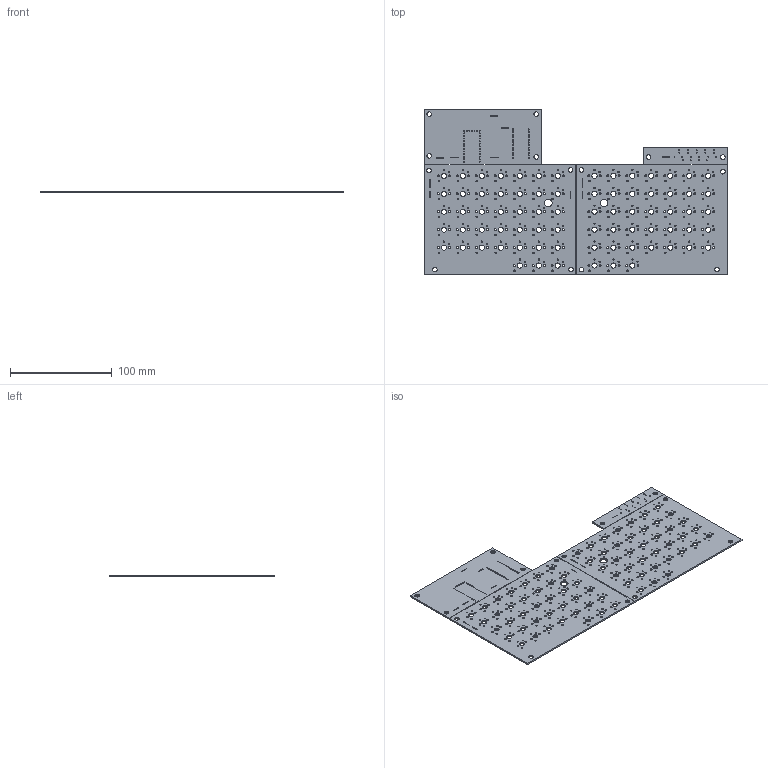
import cadquery as cq

PANEL_LENGTH = 298.06
PANEL_WIDTH = 162.67
THICKNESS = 1.51
SEAM_GAP = 0.5
TAB_WIDTH = 0.5

RIGHT_EDGE = PANEL_LENGTH / 2
LEFT_EDGE = -RIGHT_EDGE
REAR_EDGE = PANEL_WIDTH / 2
FRONT_EDGE = -REAR_EDGE

KEY_BOARD_REAR = 26.74
DAUGHTER_FRONT = KEY_BOARD_REAR + SEAM_GAP
CONTROLLER_LENGTH = 115.0
CONTROLLER_RIGHT = LEFT_EDGE + CONTROLLER_LENGTH
INDICATOR_LENGTH = 82.8
INDICATOR_LEFT = RIGHT_EDGE - INDICATOR_LENGTH
INDICATOR_REAR = 43.7

KEY_PITCH_X = 18.6
KEY_PITCH_Y = 17.6
KEY_COLUMNS = 7
FULL_KEY_ROWS = 5
THUMB_KEYS = 3
TOP_ROW_Y = 15.83
LEFT_FIRST_KEY_X = -129.53
RIGHT_FIRST_KEY_X = 18.135

SWITCH_HOLES = [
    (0, 0, 5.05),
    (-5.5, 0, 1.9),
    (5.5, 0, 1.9),
    (0, 5.9, 1.2),
    (5, 3.8, 1.2),
    (-5, -5.15, 1.6),
]

MOUNT_DIAMETER = 4.5
MOUNT_INSET = 5.0
MOUNT_POINTS = [
    (LEFT_EDGE + MOUNT_INSET, REAR_EDGE - MOUNT_INSET),
    (CONTROLLER_RIGHT - MOUNT_INSET, REAR_EDGE - MOUNT_INSET),
    (LEFT_EDGE + MOUNT_INSET, 35.48),
    (CONTROLLER_RIGHT - MOUNT_INSET, 34.49),
    (INDICATOR_LEFT + MOUNT_INSET, 34.2),
    (144.2, 34.2),
    (-144.2, 21.1),
    (-5.2, 21.7),
    (-138.56, -76.2),
    (-4.91, -76.2),
    (5.2, 21.7),
    (144.2, 19.9),
    (5.4, -76.2),
    (138.36, -76.2),
]
STANDOFF_DIAMETER = 7.6
STANDOFF_POINTS = [(-27.23, -10.79), (27.53, -10.79)]

PIN_PITCH = 2.54
HEADER_ROW_SPACING = 6 * PIN_PITCH

CONTROLLER_PIN_DIAMETER = 0.8
CONTROLLER_ROW_PINS = 13
CONTROLLER_END_PINS = 5
CONTROLLER_FIRST_PIN = (-109.8, 60.06)

MODULE_PIN_DIAMETER = 1.09
MODULE_ROW_PINS = 12
MODULE_FIRST_PIN = (-61.72, 61.32)

CABLE_PIN_PITCH = 1.25
CABLE_PIN_DIAMETER = 0.5
CABLE_ROWS_ALONG_X = [
    (6, -80.47, 74.58),
    (6, -69.67, 62.8),
    (6, -133.45, 33.36),
    (7, -119.23, 33.85),
    (7, -79.97, 33.85),
    (6, 88.32, 34.34),
]
CABLE_ROWS_ALONG_Y = [
    (7, -143.27, 8.34),
    (6, -143.27, -2.45),
    (6, -5.4, -2.94),
    (8, 6.38, 8.83),
    (6, 6.38, -2.94),
]

LAMP_COUNT = 5
LAMP_PITCH = 8.5
LAMP_LEAD_DIAMETER = 0.9
FIRST_LAMP_LEAD = (101.3, 41.2)

RESISTOR_LEAD_SPACING = 3 * PIN_PITCH
RESISTOR_LEAD_DIAMETER = 0.76
RESISTOR_POINTS = [(96.66, 34.54), (113.0, 34.54), (129.85, 34.54), (105.0, 31.15), (120.65, 31.15)]


def plate(x_min, x_max, y_min, y_max):
    """Full-thickness rectangle between the given edges."""
    return cq.Workplane("XY").box(x_max - x_min, y_max - y_min, THICKNESS).translate(
        ((x_min + x_max) / 2, (y_min + y_max) / 2, 0)
    )


def tab_starts(start, end):
    """Lower ends of the tabs at both ends and at the middle of a seam."""
    return [start, (start + end - TAB_WIDTH) / 2, end - TAB_WIDTH]


def panel():
    """Two key boards side by side and two smaller boards behind them, joined by tabs."""
    half_gap = SEAM_GAP / 2
    body = plate(LEFT_EDGE, -half_gap, FRONT_EDGE, KEY_BOARD_REAR)
    body = body.union(plate(half_gap, RIGHT_EDGE, FRONT_EDGE, KEY_BOARD_REAR))
    body = body.union(plate(LEFT_EDGE, CONTROLLER_RIGHT, DAUGHTER_FRONT, REAR_EDGE))
    body = body.union(plate(INDICATOR_LEFT, RIGHT_EDGE, DAUGHTER_FRONT, INDICATOR_REAR))
    for seam in ((LEFT_EDGE, CONTROLLER_RIGHT), (INDICATOR_LEFT, RIGHT_EDGE)):
        for x in tab_starts(*seam):
            body = body.union(plate(x, x + TAB_WIDTH, KEY_BOARD_REAR, DAUGHTER_FRONT))
    for y in tab_starts(FRONT_EDGE, KEY_BOARD_REAR):
        body = body.union(plate(-half_gap, half_gap, y, y + TAB_WIDTH))
    return body


def drill(body, points, diameter):
    """Body with a through hole at every point."""
    tools = cq.Workplane("XY").pushPoints(points).circle(diameter / 2).extrude(THICKNESS, both=True)
    return body.cut(tools)


def key_centres():
    """Centres of all switches on both key boards."""
    thumb_columns_by_board = {
        LEFT_FIRST_KEY_X: range(KEY_COLUMNS - THUMB_KEYS, KEY_COLUMNS),
        RIGHT_FIRST_KEY_X: range(THUMB_KEYS),
    }
    centres = []
    for first_x, thumb_columns in thumb_columns_by_board.items():
        for row in range(FULL_KEY_ROWS + 1):
            columns = range(KEY_COLUMNS) if row < FULL_KEY_ROWS else thumb_columns
            for column in columns:
                centres.append((first_x + column * KEY_PITCH_X, TOP_ROW_Y - row * KEY_PITCH_Y))
    return centres


def header_rows(first_pin, count):
    """Two parallel pin rows running toward -Y from the first pin."""
    x, y = first_pin
    return [
        (row_x, y - i * PIN_PITCH)
        for row_x in (x, x + HEADER_ROW_SPACING)
        for i in range(count)
    ]


def controller_pins():
    """Pins of the controller: two long rows and a short row across their rear end."""
    x, y = CONTROLLER_FIRST_PIN
    end_row = [(x + (i + 1) * PIN_PITCH, y) for i in range(CONTROLLER_END_PINS)]
    return header_rows(CONTROLLER_FIRST_PIN, CONTROLLER_ROW_PINS) + end_row


def cable_pins():
    """Pins of every cable connector."""
    pins = []
    for rows, step_x, step_y in (
        (CABLE_ROWS_ALONG_X, CABLE_PIN_PITCH, 0),
        (CABLE_ROWS_ALONG_Y, 0, CABLE_PIN_PITCH),
    ):
        for count, x, y in rows:
            for i in range(count):
                offset = i - (count - 1) / 2
                pins.append((x + offset * step_x, y + offset * step_y))
    return pins


def lamp_leads():
    """Two leads for each lamp, one behind the other."""
    x, y = FIRST_LAMP_LEAD
    return [(x + i * LAMP_PITCH, y - lead * PIN_PITCH) for i in range(LAMP_COUNT) for lead in range(2)]


def resistor_leads():
    """Two leads for each resistor, side by side."""
    return [(x + lead * RESISTOR_LEAD_SPACING, y) for x, y in RESISTOR_POINTS for lead in range(2)]


result = panel()

keys = key_centres()
for hole_x, hole_y, hole_diameter in SWITCH_HOLES:
    switch_points = [(x + hole_x, y + hole_y) for x, y in keys]
    result = drill(result, switch_points, hole_diameter)

result = drill(result, MOUNT_POINTS, MOUNT_DIAMETER)
result = drill(result, STANDOFF_POINTS, STANDOFF_DIAMETER)
result = drill(result, controller_pins(), CONTROLLER_PIN_DIAMETER)
result = drill(result, header_rows(MODULE_FIRST_PIN, MODULE_ROW_PINS), MODULE_PIN_DIAMETER)
result = drill(result, cable_pins(), CABLE_PIN_DIAMETER)
result = drill(result, lamp_leads(), LAMP_LEAD_DIAMETER)
result = drill(result, resistor_leads(), RESISTOR_LEAD_DIAMETER)